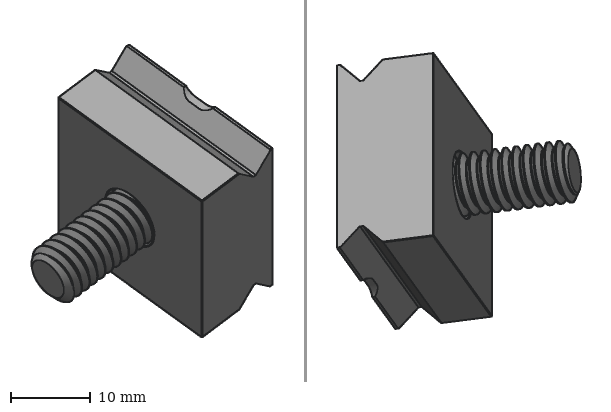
import cadquery as cq
import math

TOTAL_LENGTH = 27.38
BLOCK_SIDE = 25.4
BLOCK_THICKNESS = 12.7
EDGE_CHAMFER = 0.1
FACE_Y = TOTAL_LENGTH - BLOCK_THICKNESS
HALF_SIDE = BLOCK_SIDE / 2

LIP_WIDTH = 0.38
GROOVE_DEPTH = 2.63
GROOVE_FLOOR = 0.45
GROOVE_WIDTH = GROOVE_FLOOR + 2 * GROOVE_DEPTH
GROOVE_Y = TOTAL_LENGTH - LIP_WIDTH - GROOVE_WIDTH / 2

NOTCH_WIDTH = 5.12
NOTCH_FLOOR = 1.65
NOTCH_DEPTH = 0.77

MAJOR_RADIUS = 3.97
PITCH = 1.41
THREAD_ANGLE = 60
CREST_FLAT = PITCH / 8
ROOT_FLAT = PITCH / 8
FLANK_SLOPE = math.tan(math.radians(THREAD_ANGLE / 2))
THREAD_DEPTH = (PITCH - CREST_FLAT - ROOT_FLAT) / 2 / FLANK_SLOPE
ROOT_RADIUS = MAJOR_RADIUS - THREAD_DEPTH
TIP_RADIUS = 2.8
TIP_CHAMFER_LENGTH = 0.82
CREST_PHASE = 0.6
THREAD_OVERRUN = 2 * PITCH
RIDGE_EMBED = 0.05
SHANK_DEPTH = 7.95

BORE_RADIUS = 4.25
BORE_DEPTH = 1.1
THREAD_LENGTH = FACE_Y + BORE_DEPTH
SCREW_LENGTH = THREAD_LENGTH + SHANK_DEPTH


def along_y(shape):
    """Turn a shape built along +Z so that it runs along +Y."""
    return shape.rotate((0, 0, 0), (1, 0, 0), -90)


def make_groove():
    """Trapezoidal prism for the groove in the upper side."""
    floor_z = HALF_SIDE - GROOVE_DEPTH
    return (
        cq.Workplane("YZ", origin=(-HALF_SIDE, 0, 0))
        .moveTo(GROOVE_Y - GROOVE_WIDTH / 2, HALF_SIDE)
        .lineTo(GROOVE_Y - GROOVE_FLOOR / 2, floor_z)
        .lineTo(GROOVE_Y + GROOVE_FLOOR / 2, floor_z)
        .lineTo(GROOVE_Y + GROOVE_WIDTH / 2, HALF_SIDE)
        .close()
        .extrude(BLOCK_SIDE)
    )


def make_notch():
    """Flat-bottomed notch with arc sides tangent to its floor, from the back to the groove."""
    side = (NOTCH_WIDTH - NOTCH_FLOOR) / 2
    radius = (side**2 + NOTCH_DEPTH**2) / (2 * NOTCH_DEPTH)
    mid_angle = math.asin(side / radius) / 2
    floor_z = HALF_SIDE - NOTCH_DEPTH
    mid_x = NOTCH_FLOOR / 2 + radius * math.sin(mid_angle)
    mid_z = floor_z + radius * (1 - math.cos(mid_angle))
    return (
        cq.Workplane("XZ", origin=(0, TOTAL_LENGTH, 0))
        .moveTo(-NOTCH_WIDTH / 2, HALF_SIDE)
        .threePointArc((-mid_x, mid_z), (-NOTCH_FLOOR / 2, floor_z))
        .lineTo(NOTCH_FLOOR / 2, floor_z)
        .threePointArc((mid_x, mid_z), (NOTCH_WIDTH / 2, HALF_SIDE))
        .close()
        .extrude(TOTAL_LENGTH - GROOVE_Y)
    )


def make_hole():
    """Blind hole that fits the plain shank, with a chamfered counterbore around the thread."""
    return along_y(
        cq.Workplane("XZ")
        .moveTo(0, FACE_Y)
        .lineTo(BORE_RADIUS + EDGE_CHAMFER, FACE_Y)
        .lineTo(BORE_RADIUS, FACE_Y + EDGE_CHAMFER)
        .lineTo(BORE_RADIUS, THREAD_LENGTH)
        .lineTo(MAJOR_RADIUS, THREAD_LENGTH)
        .lineTo(MAJOR_RADIUS, SCREW_LENGTH)
        .lineTo(0, SCREW_LENGTH)
        .close()
        .revolve(360, (0, 0, 0), (0, 1, 0))
    )


def make_block():
    block = cq.Workplane("XY").box(BLOCK_SIDE, BLOCK_THICKNESS, BLOCK_SIDE)
    block = block.translate((0, FACE_Y + BLOCK_THICKNESS / 2, 0))
    block = block.faces("<Y").edges().chamfer(EDGE_CHAMFER)
    block = block.edges("|Y").chamfer(EDGE_CHAMFER)
    for cutter in (make_groove(), make_notch()):
        block = block.cut(cutter).cut(cutter.mirror("XY"))
    return block.cut(make_hole())


def make_thread_ridge(start, length):
    """Helical ridge of trapezoidal profile, with its foot sunk into the core."""
    foot_radius = ROOT_RADIUS - RIDGE_EMBED
    crest_half = CREST_FLAT / 2
    foot_half = crest_half + (MAJOR_RADIUS - foot_radius) * FLANK_SLOPE
    profile = [
        (foot_radius, -foot_half),
        (MAJOR_RADIUS, -crest_half),
        (MAJOR_RADIUS, crest_half),
        (foot_radius, foot_half),
    ]
    helices = [
        cq.Wire.makeHelix(PITCH, length, radius).translate(cq.Vector(0, 0, start + offset)).Edges()[0]
        for radius, offset in profile
    ]
    next_helices = helices[1:] + helices[:1]
    strips = [cq.Face.makeRuledSurface(edge, other) for edge, other in zip(helices, next_helices)]
    end_outlines = [[edge.startPoint() for edge in helices], [edge.endPoint() for edge in helices]]
    ends = [cq.Face.makeFromWires(cq.Wire.makePolygon(outline, close=True)) for outline in end_outlines]
    return cq.Workplane(cq.Solid.makeSolid(cq.Shell.makeShell(strips + ends)))


def make_screw():
    """Threaded rod trimmed to length with a conical tip, and the plain shank behind it."""
    core_overrun = THREAD_OVERRUN + PITCH
    core = (
        cq.Workplane("XY", origin=(0, 0, -core_overrun))
        .circle(ROOT_RADIUS)
        .extrude(THREAD_LENGTH + 2 * core_overrun)
    )
    ridge = make_thread_ridge(CREST_PHASE - THREAD_OVERRUN, THREAD_LENGTH + 2 * THREAD_OVERRUN)
    trim_radius = MAJOR_RADIUS + THREAD_DEPTH
    trim_length = TIP_CHAMFER_LENGTH * (trim_radius - TIP_RADIUS) / (MAJOR_RADIUS - TIP_RADIUS)
    trim = (
        cq.Workplane("XZ")
        .lineTo(TIP_RADIUS, 0)
        .lineTo(trim_radius, trim_length)
        .lineTo(trim_radius, THREAD_LENGTH)
        .lineTo(0, THREAD_LENGTH)
        .close()
        .revolve(360, (0, 0, 0), (0, 1, 0))
    )
    threaded = core.union(ridge).intersect(trim)
    shank = cq.Workplane("XY", origin=(0, 0, THREAD_LENGTH)).circle(MAJOR_RADIUS).extrude(SHANK_DEPTH)
    return along_y(threaded.union(shank))


block = make_block()
screw = make_screw()

result = cq.Compound.makeCompound([block.solids().val(), screw.solids().val()])